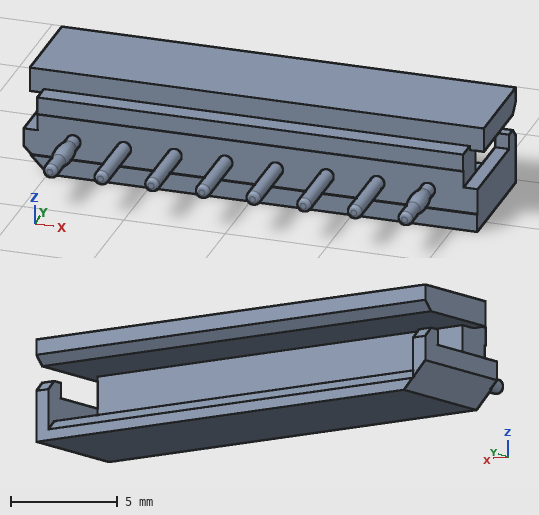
import cadquery as cq

length = 22.4
body_depth = 5.9
height = 4.9

lead_in = 0.47

plate_thickness = 1.2
plate_depth = 4.88
plate_underside = height - plate_thickness

wall_thickness = 1.9
wall_top = 3.9
floor_thickness = 0.99

end_wall_thickness = 0.7
sill_height = 2.17
hook_height = 2.91
hook_depth = 1.03

recess_depth = 0.078
recess_bottom = 0.9
recess_top = 3.02

corner_bevel_width = 1.23
corner_bevel_height = 1.28

pin_count = 8
pin_row_length = 17.5
pin_pitch = pin_row_length / (pin_count - 1)
pin_height = 1.81
pin_diameter = 0.7
pin_radius = pin_diameter / 2
overall_depth = 9.4
pin_protrusion = overall_depth - body_depth
pin_tip_rounding = 0.2
barrel_radius = 0.45
barrel_start = 0.6
barrel_end = 2.2


def block(x_size, y_min, y_max, z_min, z_max):
    """Box centred on X, spanning the given Y and Z ranges."""
    return (
        cq.Workplane("XY")
        .box(x_size, y_max - y_min, z_max - z_min, centered=(True, False, False))
        .translate((0, y_min, z_min))
    )


def cover_plate():
    """Full-length top plate with a lead-in bevel under its rear edge."""
    plate = block(length, body_depth - plate_depth, body_depth, plate_underside, height)
    return plate.faces(">Y").edges("<Z").chamfer(lead_in)


def floor_and_wall():
    """Floor with a rear lead-in bevel, and the solid front wall that carries the pins."""
    floor = block(length, 0, body_depth, 0, floor_thickness).faces(">Y").edges(">Z").chamfer(lead_in)
    wall_length = length - 2 * end_wall_thickness
    wall_base = block(length, 0, wall_thickness, 0, sill_height)
    upper_wall = block(wall_length, 0, wall_thickness, 0, wall_top)
    return floor.union(wall_base).union(upper_wall)


def end_wall(x_start):
    """Low end wall rising into a bevelled latch hook at the rear."""
    hook_front = body_depth - hook_depth
    return (
        cq.Workplane("YZ", origin=(x_start, 0, 0))
        .moveTo(0, 0)
        .lineTo(body_depth, 0)
        .lineTo(body_depth, hook_height - lead_in)
        .lineTo(body_depth - lead_in, hook_height)
        .lineTo(hook_front, hook_height)
        .lineTo(hook_front, sill_height)
        .lineTo(0, sill_height)
        .close()
        .extrude(end_wall_thickness)
    )


def corner_cutter():
    """Triangular prism that bevels the lower corner at the -X end."""
    return (
        cq.Workplane("XZ")
        .moveTo(-length / 2, 0)
        .lineTo(-length / 2 + corner_bevel_width, 0)
        .lineTo(-length / 2, corner_bevel_height)
        .close()
        .extrude(-body_depth)
    )


def pin(x, has_barrel):
    """Round pin pointing to -Y, rounded at the tip, optionally with a bulged barrel."""
    plane = cq.Workplane("XZ", origin=(x, 0, pin_height))
    shank = (
        plane.workplane(offset=-wall_thickness / 2)
        .circle(pin_radius)
        .extrude(pin_protrusion + wall_thickness / 2)
        .faces("<Y")
        .edges()
        .fillet(pin_tip_rounding)
    )
    if not has_barrel:
        return shank
    barrel_middle = (barrel_start + barrel_end) / 2
    barrel = (
        cq.Workplane("XY", origin=(x, 0, pin_height))
        .moveTo(0, -barrel_start)
        .lineTo(pin_radius, -barrel_start)
        .threePointArc((barrel_radius, -barrel_middle), (pin_radius, -barrel_end))
        .lineTo(0, -barrel_end)
        .close()
        .revolve(360, (0, 0, 0), (0, 1, 0))
    )
    return shank.union(barrel)


housing = floor_and_wall().union(cover_plate())
for x_start in (-length / 2, length / 2 - end_wall_thickness):
    housing = housing.union(end_wall(x_start))

recess = block(length, 0, recess_depth, recess_bottom, recess_top)
result = housing.cut(recess).cut(corner_cutter())

for index in range(pin_count):
    pin_x = index * pin_pitch - pin_row_length / 2
    is_outer_pin = index in (0, pin_count - 1)
    result = result.union(pin(pin_x, is_outer_pin))